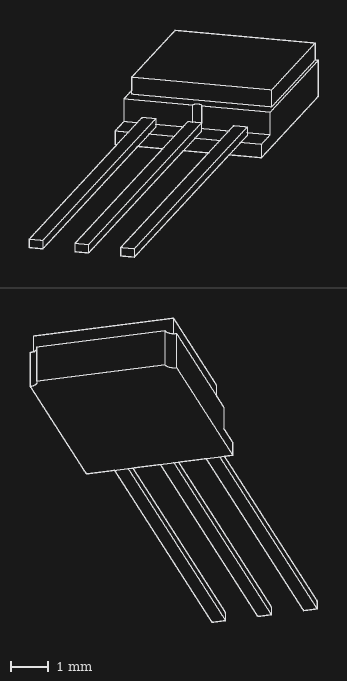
import cadquery as cq

total_length = 15.88
rear_y = total_length / 2

body_width = 4.07
body_length = 5.7
body_height = 1.02
upper_body_length = 4.86
shelf_height = 0.38
corner_scoop_radius = 0.25
notch_radius = 0.13

lid_width = 3.89
lid_length = 4.16
lid_height = 0.48
lid_rear_inset = corner_scoop_radius

lead_count = 3
lead_width = 0.38
lead_thickness = 0.24
lead_pitch = 1.27
lead_rear_inset = 5.08
lead_length = total_length - lead_rear_inset


def block(width, length, height, rear_inset, base_z, center_x=0):
    """Box whose rear face lies rear_inset in front of the rear of the part."""
    return (
        cq.Workplane("XY")
        .box(width, length, height, centered=(True, False, False))
        .translate((center_x, rear_y - rear_inset - length, base_z))
    )


def make_body():
    """Stepped body with scooped rear corners and a half-round front notch."""
    shelf = block(body_width, body_length, shelf_height, 0, 0)
    upper_body = block(body_width, upper_body_length, body_height, 0, 0)
    corner_scoops = (
        cq.Workplane("XY")
        .pushPoints([(side * body_width / 2, rear_y) for side in (-1, 1)])
        .circle(corner_scoop_radius)
        .extrude(body_height)
    )
    notch = (
        cq.Workplane("XY", origin=(0, rear_y - upper_body_length, shelf_height))
        .circle(notch_radius)
        .extrude(body_height - shelf_height)
    )
    return shelf.union(upper_body).cut(corner_scoops).cut(notch)


def make_lead(index):
    """Straight rectangular lead, numbered from the -X side."""
    center_x = (index - (lead_count - 1) / 2) * lead_pitch
    return block(lead_width, lead_length, lead_thickness, lead_rear_inset, shelf_height, center_x)


lid = block(lid_width, lid_length, lid_height, lid_rear_inset, body_height)
result = make_body().union(lid)
for lead_index in range(lead_count):
    result = result.union(make_lead(lead_index))